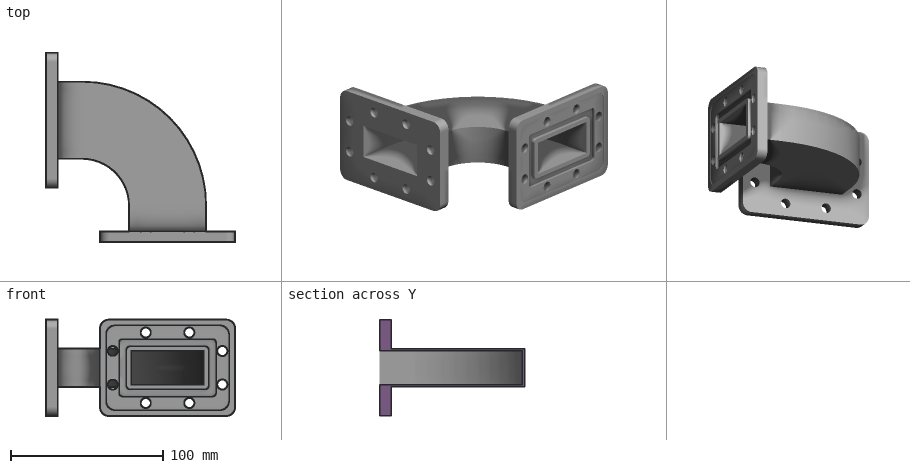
import cadquery as cq

BORE_WIDTH = 47.55
BORE_HEIGHT = 22.15
TUBE_WIDTH = 50.8
TUBE_HEIGHT = 25.4

PORT_OFFSET = 80.0
BEND_CENTRE = 23.9
BEND_RADIUS = PORT_OFFSET - BEND_CENTRE

FLANGE_WIDTH = 88.9
FLANGE_HEIGHT = 63.5
FLANGE_CORNER_RADIUS = 6.0
PLAIN_FLANGE_THICKNESS = 8.0
GROOVED_FLANGE_THICKNESS = 7.0

HOLE_DIAMETER = 6.5
END_HOLE_SPACING = (72.0, 22.0)
SIDE_HOLE_SPACING = (28.6, 46.3)

RECESS_WIDTH = 80.8
RECESS_HEIGHT = 55.7
RECESS_CORNER_RADIUS = 6.0
RECESS_DEPTH = 0.45

RIM_WIDTH = 54.1
RIM_HEIGHT = 28.2
GROOVE_WIDTH = 4.8
GROOVE_CORNER_RADIUS = 2.4
GROOVE_DEPTH = 2.5

plain_port = cq.Plane(origin=(0, PORT_OFFSET, 0), xDir=(0, 1, 0), normal=(1, 0, 0))
grooved_port = cq.Plane(origin=(PORT_OFFSET, 0, 0), xDir=(-1, 0, 0), normal=(0, 1, 0))


def rounded_block(port, width, height, depth, corner_radius):
    """Rectangular block with rounded corners, reaching from a port face into the part."""
    outline = cq.Sketch().rect(width, height).vertices().fillet(corner_radius)
    return cq.Workplane(port).placeSketch(outline).extrude(depth)


def swept_bar(width, height):
    """Rectangular bar running from one port face through the bend to the other."""
    plain_leg = cq.Workplane(plain_port).rect(width, height).extrude(BEND_CENTRE)
    grooved_leg = cq.Workplane(grooved_port).rect(width, height).extrude(BEND_CENTRE)
    bend = (
        cq.Workplane(grooved_port)
        .workplane(offset=BEND_CENTRE)
        .rect(width, height)
        .revolve(90, (BEND_RADIUS, 0), (BEND_RADIUS, 1))
    )
    return plain_leg.union(bend).union(grooved_leg)


def flange(port, thickness):
    """Flange plate with its bolt holes: two at each end and two along each long side."""
    plate = rounded_block(port, FLANGE_WIDTH, FLANGE_HEIGHT, thickness, FLANGE_CORNER_RADIUS)
    for spacing_across, spacing_up in (END_HOLE_SPACING, SIDE_HOLE_SPACING):
        holes = (
            cq.Workplane(port)
            .rarray(spacing_across, spacing_up, 2, 2)
            .circle(HOLE_DIAMETER / 2)
            .extrude(thickness)
        )
        plate = plate.cut(holes)
    return plate


def face_relief():
    """Material removed from the grooved flange's face: the recess and the gasket groove."""
    recess = rounded_block(grooved_port, RECESS_WIDTH, RECESS_HEIGHT, RECESS_DEPTH, RECESS_CORNER_RADIUS)
    groove = rounded_block(
        grooved_port,
        RIM_WIDTH + 2 * GROOVE_WIDTH,
        RIM_HEIGHT + 2 * GROOVE_WIDTH,
        GROOVE_DEPTH,
        GROOVE_CORNER_RADIUS,
    )
    rim = rounded_block(grooved_port, RIM_WIDTH, RIM_HEIGHT, GROOVE_DEPTH, GROOVE_CORNER_RADIUS)
    return recess.union(groove).cut(rim)


result = (
    swept_bar(TUBE_WIDTH, TUBE_HEIGHT)
    .union(flange(plain_port, PLAIN_FLANGE_THICKNESS))
    .union(flange(grooved_port, GROOVED_FLANGE_THICKNESS))
    .cut(face_relief())
    .cut(swept_bar(BORE_WIDTH, BORE_HEIGHT))
)